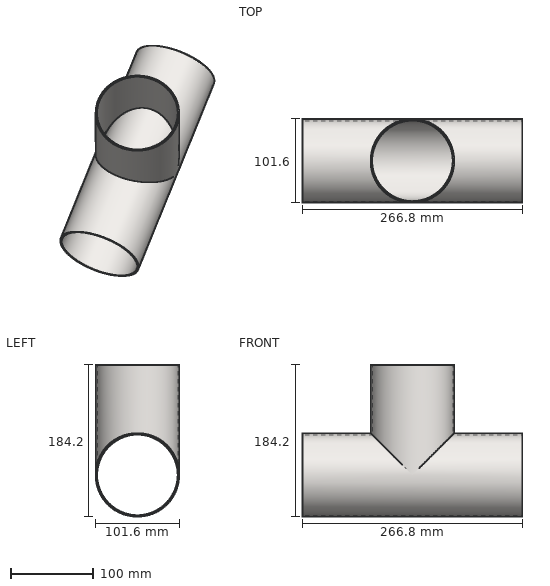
import cadquery as cq

outer_diameter = 101.6
wall_thickness = 2.0
center_to_end = 133.4

inner_diameter = outer_diameter - 2 * wall_thickness


def tee_solid(diameter):
    """Solid tee of one diameter, reaching all three open ends."""
    run = (
        cq.Workplane("YZ")
        .circle(diameter / 2)
        .extrude(center_to_end, both=True)
    )
    branch = cq.Workplane("XY").circle(diameter / 2).extrude(center_to_end)
    return run.union(branch)


result = tee_solid(outer_diameter).cut(tee_solid(inner_diameter))